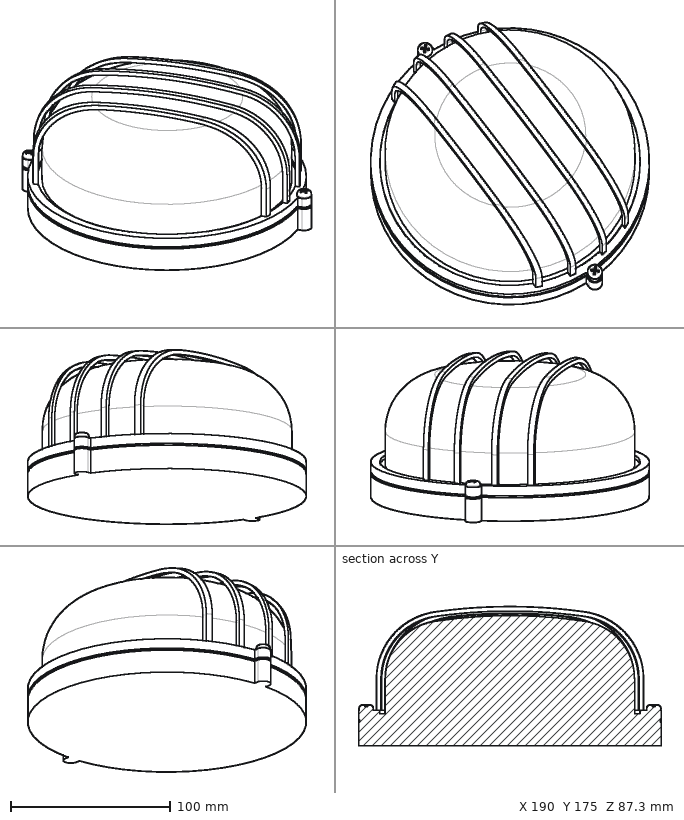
import cadquery as cq
import math

body_diameter = 175.0
body_radius = body_diameter / 2
base_height = 15.0
seam_height = 1.1
seam_inset = 0.5
rim_top = 22.5
rim_bore_radius = 81.7
rim_gap_depth = 2.3

dome_radius = 78.5
dome_spring_height = 42.0
dome_corner_radius = 36.7
dome_crown_height = 81.9

bar_thickness = 2.8
bar_width = 3.6
bar_inner_offset = 12.2
bar_outer_offset = 34.0
guard_radius = rim_bore_radius + bar_thickness
guard_spring_height = dome_spring_height
guard_corner_radius = 42.5
guard_crown_height = 87.5

overall_length = 190.0
lug_radius = 4.8
lug_center = overall_length / 2 - lug_radius

head_radius = 4.5
head_height = 3.2
head_rounding = 2.3
cross_length = 5.3
cross_slot_width = 1.0
cross_depth = 1.0
cross_angle = 45


def domed_solid(radius, bottom, spring_height, corner_radius, crown_height):
    """Revolve a wall, a rounded shoulder and a shallow crown that all meet tangentially."""
    corner_x = radius - corner_radius
    rise = crown_height - spring_height
    crown_radius = (corner_x**2 + rise**2 - corner_radius**2) / (2 * (rise - corner_radius))
    crown_center = crown_height - crown_radius
    crown_angle = math.asin(corner_x / (crown_radius - corner_radius))
    shoulder_angle = (math.pi / 2 + crown_angle) / 2

    def on_shoulder(angle):
        return (
            corner_x + corner_radius * math.sin(angle),
            spring_height + corner_radius * math.cos(angle),
        )

    def on_crown(angle):
        return (crown_radius * math.sin(angle), crown_center + crown_radius * math.cos(angle))

    return (
        cq.Workplane("XZ")
        .moveTo(0, bottom)
        .lineTo(radius, bottom)
        .lineTo(radius, spring_height)
        .threePointArc(on_shoulder(shoulder_angle), on_shoulder(crown_angle))
        .threePointArc(on_crown(crown_angle / 2), (0, crown_height))
        .close()
        .revolve(360, (0, 0, 0), (0, 1, 0))
    )


def body_layer(bottom, top, inset=0.0):
    """One level of the round body together with its two screw lugs."""
    height = top - bottom
    level = cq.Workplane("XY").workplane(offset=bottom)
    disc = level.circle(body_radius - inset).extrude(height)
    lugs = level.slot2D(overall_length - 2 * inset, 2 * (lug_radius - inset)).extrude(height)
    return disc.union(lugs)


def make_body():
    seam_top = base_height + seam_height
    base = body_layer(0, base_height)
    seam = body_layer(base_height, seam_top, seam_inset)
    rim = body_layer(seam_top, rim_top)
    gap = cq.Workplane("XY").workplane(offset=rim_top).circle(rim_bore_radius).extrude(-rim_gap_depth)
    return base.union(seam).union(rim).cut(gap)


def make_dome():
    return domed_solid(
        dome_radius, base_height, dome_spring_height, dome_corner_radius, dome_crown_height
    )


def make_guard_bars():
    foot = rim_top - rim_gap_depth
    outside = domed_solid(
        guard_radius, foot, guard_spring_height, guard_corner_radius, guard_crown_height
    )
    inside = domed_solid(
        guard_radius - bar_thickness,
        foot,
        guard_spring_height,
        guard_corner_radius - bar_thickness,
        guard_crown_height - bar_thickness,
    )
    bar_places = [
        (0, side * offset) for side in (-1, 1) for offset in (bar_inner_offset, bar_outer_offset)
    ]
    slices = (
        cq.Workplane("XY")
        .pushPoints(bar_places)
        .rect(2 * guard_radius, bar_width)
        .extrude(guard_crown_height)
    )
    return outside.cut(inside).intersect(slices)


def make_screw_head(x):
    head_top = rim_top + head_height
    head = (
        cq.Workplane("XY", origin=(x, 0, rim_top))
        .circle(head_radius)
        .extrude(head_height)
        .faces(">Z")
        .edges()
        .fillet(head_rounding)
    )
    for angle in (cross_angle, cross_angle + 90):
        slot = (
            cq.Workplane("XY", origin=(x, 0, head_top))
            .transformed(rotate=(0, 0, angle))
            .rect(cross_length, cross_slot_width)
            .extrude(-cross_depth)
        )
        head = head.cut(slot)
    return head


result = make_body().union(make_dome()).union(make_guard_bars())
for screw_x in (-lug_center, lug_center):
    result = result.union(make_screw_head(screw_x))